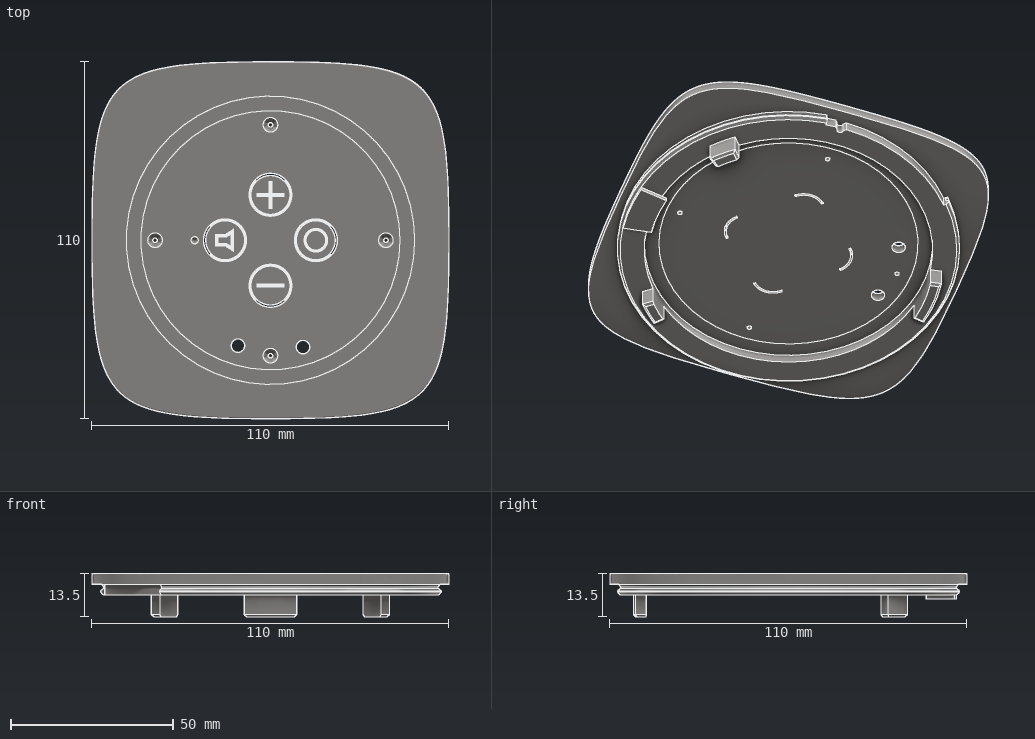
import cadquery as cq
import math

top_z = 13.5
plate_thickness = 3.4
skirt_height = 3.3
plate_bottom_z = top_z - plate_thickness
skirt_bottom_z = plate_bottom_z - skirt_height

plate_half_width = 55.0
corner_reach = 51.0
plate_edge_fillet = 0.4

bore_radius = 88.8 / 2
disc_radius = 79.8 / 2

skirt_top_radius = 52.4
groove_radius = 51.7
bead_radius = 52.7
skirt_bottom_radius = 51.8
groove_drop = 0.8
bead_drop = 2.0
land_height = 0.4

recess_radius = 51.0
recess_start_angle = 173.3
recess_end_angle = 229.6
notch_y = 1.2
notch_radius = 1.0
notch_mouth_half_width = 1.8
notch_mouth_depth = 0.8

boss_outer_radius = 47.8
boss_chamfer = 0.8
front_boss_half_angle = 9.8
corner_boss_half_angle = 5.1
front_boss_angle = -90
corner_boss_angles = (45, 135)

tab_angle = 90
tab_half_angle = 9.0
tab_inner_radius = 42.9
tab_outer_radius = skirt_bottom_radius
tab_thickness = 1.2

screw_circle_radius = 35.5
screw_hole_diameter = 1.3
screw_head_diameter = 4.5
screw_head_angle = 90
port_diameter = 4.1
port_places = [(-10.0, -32.5), (10.0, -32.9)]
dimple_x = -23.3
dimple_radius = 2.2 / 2
dimple_depth = 1.1

button_offset = 14.0
button_radius = 12.0 / 2
button_hole_radius = 13.2 / 2
slit_half_angle = 45
engraving_depth = 0.3
engraving_taper = 45
bar_length = 8.4
bar_width = 1.0
ring_mark_inner_radius = 6.0 / 2
ring_mark_outer_radius = 7.3 / 2
horn_line_width = 0.8
horn_back_x = -3.0
horn_flare_x = 0.1
horn_front_x = 2.6
horn_neck_half_height = 1.8
horn_mouth_half_height = 3.4


def polar(radius, angle):
    """Point at a radius and an angle in degrees."""
    return (radius * math.cos(math.radians(angle)), radius * math.sin(math.radians(angle)))


def turned(point, angle):
    """Point turned about the origin by an angle in degrees."""
    x, y = point
    return polar(math.hypot(x, y), math.degrees(math.atan2(y, x)) + angle)


def ring_sector(inner_radius, outer_radius, mid_angle, half_angle, bottom_z, height):
    """Part of a flat ring around the Z axis."""
    start = mid_angle - half_angle
    end = mid_angle + half_angle
    return (
        cq.Workplane("XY", origin=(0, 0, bottom_z))
        .moveTo(*polar(inner_radius, start))
        .lineTo(*polar(outer_radius, start))
        .threePointArc(polar(outer_radius, mid_angle), polar(outer_radius, end))
        .lineTo(*polar(inner_radius, end))
        .threePointArc(polar(inner_radius, mid_angle), polar(inner_radius, start))
        .close()
        .extrude(height)
    )


def spin(profile):
    """Revolve a closed profile of (radius, z) points around the Z axis."""
    return cq.Workplane("XZ").polyline(profile).close().revolve(360, (0, 0), (0, 1))


def v_ring(inner_radius, outer_radius):
    """Cutter for a circular V groove in the top face, around the Z axis."""
    middle = (inner_radius + outer_radius) / 2
    return spin([(inner_radius, top_z), (outer_radius, top_z), (middle, top_z - engraving_depth)])


def bowed_plate():
    half = plate_half_width
    outline = cq.Workplane("XY", origin=(0, 0, plate_bottom_z)).moveTo(half, 0)
    for turn in range(4):
        control_points = [(half, 0), (half, corner_reach), (corner_reach, half), (0, half)]
        outline = outline.bezier([turned(point, 90 * turn) for point in control_points])
    plate = outline.close().extrude(plate_thickness)
    return plate.faces(">Z").edges().fillet(plate_edge_fillet)


def flared_notch():
    """Round-bottomed upright notch with a flared mouth, open towards -X."""
    notch = (
        cq.Workplane("XY")
        .moveTo(-notch_mouth_depth, notch_mouth_half_width)
        .lineTo(-notch_mouth_depth, -notch_mouth_half_width)
        .lineTo(0, -notch_radius)
        .threePointArc((notch_radius, 0), (0, notch_radius))
        .close()
        .extrude(skirt_height)
    )
    return notch.translate((notch_mouth_depth - recess_radius, notch_y, skirt_bottom_z))


def beaded_skirt():
    skirt = spin([
        (bore_radius, plate_bottom_z),
        (skirt_top_radius, plate_bottom_z),
        (groove_radius, plate_bottom_z - groove_drop),
        (groove_radius, plate_bottom_z - groove_drop - land_height),
        (bead_radius, plate_bottom_z - bead_drop),
        (bead_radius, plate_bottom_z - bead_drop - land_height),
        (skirt_bottom_radius, skirt_bottom_z),
        (bore_radius, skirt_bottom_z),
    ])
    recess = ring_sector(
        recess_radius,
        plate_half_width,
        (recess_start_angle + recess_end_angle) / 2,
        (recess_end_angle - recess_start_angle) / 2,
        skirt_bottom_z,
        skirt_height,
    )
    return skirt.cut(recess).cut(flared_notch())


def boss(angle, half_angle):
    foot = ring_sector(bore_radius, boss_outer_radius, 0, half_angle, 0, skirt_bottom_z)
    foot = foot.faces("<Z").edges("not(<X)").chamfer(boss_chamfer)
    return foot.rotate((0, 0, 0), (0, 0, 1), angle)


def make_frame():
    bore = cq.Workplane("XY", origin=(0, 0, plate_bottom_z)).circle(bore_radius).extrude(plate_thickness)
    tab = ring_sector(
        tab_inner_radius,
        tab_outer_radius,
        tab_angle,
        tab_half_angle,
        skirt_bottom_z - tab_thickness,
        tab_thickness,
    )
    skirt = beaded_skirt().union(tab).union(boss(front_boss_angle, front_boss_half_angle))
    for angle in corner_boss_angles:
        skirt = skirt.union(boss(angle, corner_boss_half_angle))
    return bowed_plate().cut(bore).union(skirt)


def make_ring():
    return (
        cq.Workplane("XY", origin=(0, 0, plate_bottom_z))
        .circle(bore_radius)
        .circle(disc_radius)
        .extrude(plate_thickness)
    )


def button_gap(angle):
    """V groove around a button, cut through as a slit on the side away from the disc centre."""
    slit = ring_sector(
        button_radius, button_hole_radius, 0, slit_half_angle, plate_bottom_z, plate_thickness
    )
    gap = v_ring(button_radius, button_hole_radius).union(slit)
    return gap.translate((button_offset, 0, 0)).rotate((0, 0, 0), (0, 0, 1), angle)


def bar_mark(length_x, length_y):
    return (
        cq.Workplane("XY", origin=(0, 0, top_z))
        .rect(length_x, length_y)
        .extrude(-engraving_depth, taper=engraving_taper)
    )


def plus_mark():
    return bar_mark(bar_length, bar_width).union(bar_mark(bar_width, bar_length))


def minus_mark():
    return bar_mark(bar_length, bar_width)


def ring_mark():
    return v_ring(ring_mark_inner_radius, ring_mark_outer_radius)


def horn_outline():
    return cq.Workplane("XY", origin=(0, 0, top_z)).polyline([
        (horn_back_x, -horn_neck_half_height),
        (horn_flare_x, -horn_neck_half_height),
        (horn_front_x, -horn_mouth_half_height),
        (horn_front_x, horn_mouth_half_height),
        (horn_flare_x, horn_neck_half_height),
        (horn_back_x, horn_neck_half_height),
    ]).close()


def horn_mark():
    """Groove with sloped walls that follows the outline of a horn."""
    outer = horn_outline().extrude(-engraving_depth, taper=engraving_taper)
    inner = horn_outline().offset2D(-horn_line_width).extrude(-engraving_depth, taper=-engraving_taper)
    return outer.cut(inner)


def make_disc():
    disc = cq.Workplane("XY", origin=(0, 0, plate_bottom_z)).circle(disc_radius).extrude(plate_thickness)

    top = cq.Workplane("XY", origin=(0, 0, top_z))
    screw_places = [polar(screw_circle_radius, angle) for angle in range(0, 360, 90)]
    disc = (
        disc.faces(">Z")
        .workplane(origin=(0, 0, top_z))
        .pushPoints(screw_places)
        .cskHole(screw_hole_diameter, screw_head_diameter, screw_head_angle)
    )
    disc = disc.cut(top.pushPoints(port_places).circle(port_diameter / 2).extrude(-plate_thickness))

    dimple = spin([(0, top_z), (dimple_radius, top_z), (0, top_z - dimple_depth)])
    disc = disc.cut(dimple.translate((dimple_x, 0, 0)))

    marks = {0: ring_mark(), 90: plus_mark(), 180: horn_mark(), 270: minus_mark()}
    for angle, mark in marks.items():
        button_x, button_y = polar(button_offset, angle)
        disc = disc.cut(button_gap(angle)).cut(mark.translate((button_x, button_y, 0)))
    return disc


frame = make_frame()
ring = make_ring()
disc = make_disc()

result = cq.Compound.makeCompound([frame.val(), ring.val(), disc.val()])